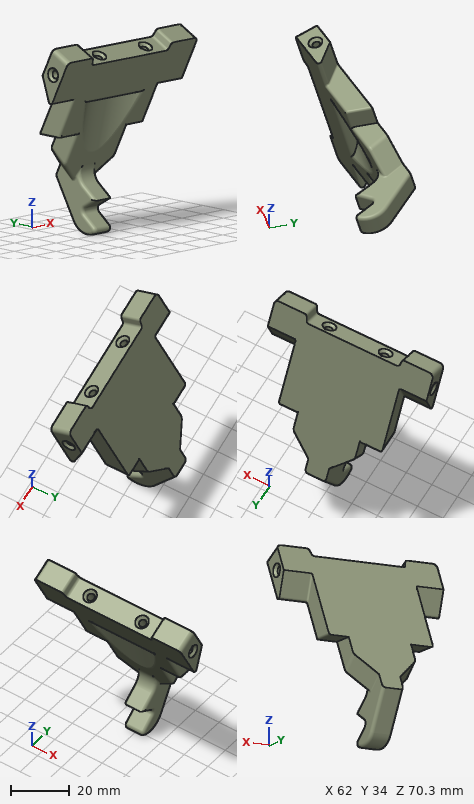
import cadquery as cq
import math

tilt = 27.0
plate_thickness = 8.3
plate_top = 58.7
edge_radius = 1.0

wing_width = 62.0
wing_back_height = 47.6
wing_undercut_angle = 44.0
wing_joint_radius = 0.6

recess_center = -0.15
recess_floor_width = 35.9
recess_depth = 3.15
recess_flank_angle = 15.0
recess_radius = 1.05
pad_outer_radius = 1.75

block_center = -0.2
block_width = 40.4
block_back_height = 20.9
block_corner_radius = 0.85

lower_center = 0.35
lower_width = 24.2
lower_back_height = 13.65
lower_top_height = 35.15
lower_slope = 13.0
lower_taper = 45.0
lower_corner_radius = 2.45
lower_edge_radius = 1.1

hook_width = 8.15
hook_edge_radius = 1.3
hook_joint_radius = 0.85
finger_slope = 10.0
heel_slope = 32.7
heel_end_depth = 13.8
sole_radius = 7.8
sole_turn = 101.5
toe_radius = 1.4
upper_finger_depth = 19.9
upper_finger_height = 4.0
notch_depth = 15.3
notch_height = -3.15
notch_radius = 1.4
hook_root_height = 14.05
throat_radius = 5.3

hole_diameter = 2.75
sink_diameter = 4.9
sink_half_angle = 45.0
hole_depth = 9.85
top_hole_offset = 11.0
side_hole_height = 50.75

scoop_center = -0.15
scoop_tip_height = 16.0
scoop_top_height = 38.25
scoop_half_width = 13.35
scoop_slope = 13.0
scoop_edge_radius = 1.7
scoop_clearance = 1.4


def rise(distance, angle):
    """Height gained over a distance at an angle in degrees."""
    return distance * math.tan(math.radians(angle))


def side_sketch():
    """Workplane on X = 0 whose first axis is depth, forward from the back face, and second is height."""
    return cq.Workplane(cq.Plane(origin=(0, 0, 0), xDir=(0, -1, 0), normal=(-1, 0, 0)))


def plate_portion(back_height, bottom_slope, width):
    """Piece of the plate up to the top edge; its bottom face slopes up (+) toward the front."""
    outline = [
        (0, back_height),
        (plate_thickness, back_height + rise(plate_thickness, bottom_slope)),
        (plate_thickness, plate_top),
        (0, plate_top),
    ]
    return side_sketch().polyline(outline).close().extrude(width / 2, both=True)


def make_wings():
    wings = plate_portion(wing_back_height, -wing_undercut_angle, wing_width)
    wings = wings.edges("|X and <Z").fillet(edge_radius)
    return wings.edges("|Y and >Z").fillet(pad_outer_radius)


def make_block():
    block = plate_portion(block_back_height, tilt, block_width)
    block = block.faces("<Z").edges("not |X").fillet(block_corner_radius)
    front_edges = block.faces("<Y").edges("not >Z")
    return front_edges.fillet(edge_radius).translate((block_center, 0, 0))


def make_lower_block():
    slope = math.radians(lower_slope)
    sloped_plane = cq.Plane(
        origin=(0, 0, 0), xDir=(1, 0, 0), normal=(0, -math.cos(slope), -math.sin(slope))
    )
    half_width = lower_width / 2
    tip_height = lower_back_height - rise(half_width, lower_taper)
    outline = [
        (-half_width, lower_top_height),
        (-half_width, lower_back_height),
        (0, tip_height),
        (half_width, lower_back_height),
        (half_width, lower_top_height),
    ]
    points = [(x, height * math.cos(slope)) for x, height in outline]
    prism = cq.Workplane(sloped_plane).polyline(points).close().extrude(wing_width, both=True)
    prism = prism.edges(cq.selectors.ParallelDirSelector(sloped_plane.zDir)).fillet(lower_corner_radius)
    slab = cq.Workplane().box(wing_width, plate_thickness, 2 * plate_top)
    slab = slab.translate((0, -plate_thickness / 2, 0))
    block = prism.intersect(slab)
    return block.faces("<Y").edges().fillet(lower_edge_radius).translate((lower_center, 0, 0))


def make_hook():
    heel_end_height = -rise(heel_end_depth, heel_slope)

    def sole_point(turn):
        """Point on the sole arc, which leaves the heel line tangentially and turns upward."""
        start = math.radians(heel_slope)
        end = math.radians(heel_slope - turn)
        return (
            heel_end_depth + sole_radius * (math.sin(start) - math.sin(end)),
            heel_end_height + sole_radius * (math.cos(start) - math.cos(end)),
        )

    toe = sole_point(sole_turn)
    throat = (
        plate_thickness,
        upper_finger_height + rise(upper_finger_depth - plate_thickness, finger_slope),
    )
    hook = (
        side_sketch()
        .lineTo(heel_end_depth, heel_end_height)
        .threePointArc(sole_point(sole_turn / 2), toe)
        .lineTo(notch_depth, notch_height)
        .lineTo(upper_finger_depth, upper_finger_height)
        .lineTo(*throat)
        .lineTo(plate_thickness, hook_root_height)
        .lineTo(0, hook_root_height)
        .close()
        .extrude(hook_width / 2, both=True)
    )
    profile_rounds = [
        (toe, toe_radius),
        ((notch_depth, notch_height), notch_radius),
        (throat, throat_radius),
    ]
    for (depth, height), radius in profile_rounds:
        corner = cq.selectors.NearestToPointSelector((0, -depth, height))
        hook = hook.edges("|X").edges(corner).fillet(radius)

    side_edges = hook.faces("|X").edges()
    back_edges = hook.faces(">Y").edges()
    hook = side_edges.newObject([e for e in side_edges.vals() if e not in back_edges.vals()])
    hook = hook.fillet(hook_edge_radius)
    return hook.translate((lower_center, 0, 0))


def cut_recess(body):
    floor_height = plate_top - recess_depth
    half_floor = recess_floor_width / 2
    half_mouth = half_floor + rise(recess_depth, recess_flank_angle)
    cutter = (
        cq.Workplane("XZ", origin=(recess_center, 0, 0))
        .polyline(
            [
                (-half_floor, floor_height),
                (half_floor, floor_height),
                (half_mouth, plate_top),
                (-half_mouth, plate_top),
            ]
        )
        .close()
        .extrude(plate_thickness)
    )
    body = body.cut(cutter)
    for side in (-1, 1):
        for half_width, height in ((half_floor, floor_height), (half_mouth, plate_top)):
            corner = (recess_center + side * half_width, -plate_thickness / 2, height)
            nearest = cq.selectors.NearestToPointSelector(corner)
            body = body.edges("|Y").edges(nearest).fillet(recess_radius)
    return body


def sink_hole(plane):
    """Cutter for a blind hole with a 90-degree countersink, entering against the plane's normal."""
    hole = cq.Workplane(plane).circle(hole_diameter / 2).extrude(-hole_depth)
    sink_depth = (sink_diameter - hole_diameter) / 2 / math.tan(math.radians(sink_half_angle))
    sink = cq.Workplane(plane).circle(sink_diameter / 2).extrude(-sink_depth, taper=sink_half_angle)
    return hole.union(sink)


def cut_holes(body):
    mid_depth = -plate_thickness / 2
    for side in (-1, 1):
        top = cq.Plane(
            origin=(side * top_hole_offset, mid_depth, plate_top - recess_depth), normal=(0, 0, 1)
        )
        end = cq.Plane(
            origin=(side * wing_width / 2, mid_depth, side_hole_height), normal=(side, 0, 0)
        )
        body = body.cut(sink_hole(top)).cut(sink_hole(end))
    return body


def cut_scoop(body):
    """Cut with a sloping cylinder that meets the front face at the scoop's tip and ends at a wall."""
    length = scoop_top_height - scoop_tip_height
    slope = math.radians(scoop_slope)
    depth = length * math.sin(slope)
    radius = (scoop_half_width**2 + depth**2) / (2 * depth)
    sloped_plane = cq.Plane(
        origin=(scoop_center, -plate_thickness, scoop_tip_height),
        xDir=(1, 0, 0),
        normal=(0, math.sin(slope), math.cos(slope)),
    )
    cylinder = cq.Workplane(sloped_plane).center(0, -radius).circle(radius)
    cylinder = cylinder.extrude(2 * length, both=True)
    below_wall = cq.Workplane().box(block_width, 2 * plate_thickness, length + scoop_clearance)
    middle_height = (scoop_top_height + scoop_tip_height - scoop_clearance) / 2
    below_wall = below_wall.translate((scoop_center, -plate_thickness, middle_height))
    body = body.cut(cylinder.intersect(below_wall))

    margin = 0.1
    rim = cq.selectors.BoxSelector(
        (scoop_center - margin, -plate_thickness - margin, scoop_tip_height),
        (scoop_center + margin, -plate_thickness + margin, scoop_top_height + margin),
    )
    return body.edges(rim).fillet(scoop_edge_radius)


def round_joints(body, center, width, back_height, slope, radius):
    """Round the inside corners where the two sides of a narrower piece meet a sloping bottom face."""
    mid_depth = plate_thickness / 2
    for side in (-1, 1):
        joint = (center + side * width / 2, -mid_depth, back_height - rise(mid_depth, slope))
        body = body.edges(cq.selectors.NearestToPointSelector(joint)).fillet(radius)
    return body


body = make_wings().union(make_block())
body = round_joints(
    body, block_center, block_width, wing_back_height, wing_undercut_angle, wing_joint_radius
)
hook_joint_height = lower_back_height - rise((lower_width - hook_width) / 2, lower_taper)
body = body.union(make_lower_block()).union(make_hook())
body = round_joints(body, lower_center, hook_width, hook_joint_height, lower_slope, hook_joint_radius)
body = cut_recess(body)
body = cut_scoop(body)
body = cut_holes(body)
result = body.rotate((0, 0, 0), (1, 0, 0), tilt)